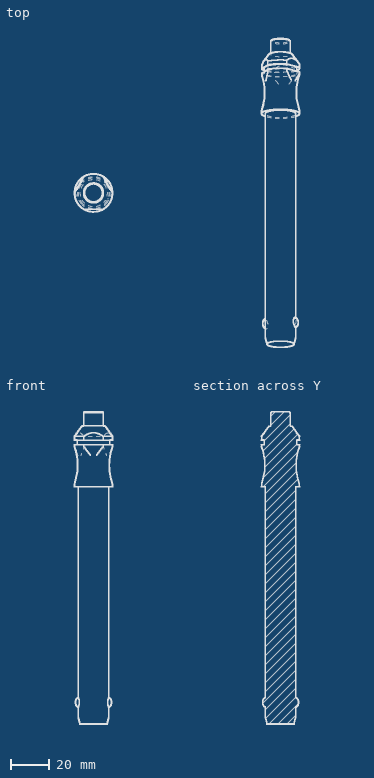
import cadquery as cq
import math

total_length = 163.5

pin_radius = 8.0
pin_length = 124.1
tip_radius = 7.1
tip_height = 3.4

collar_radius = 10.0
waist_radius = 8.3
base_band_height = 1.5
top_band_height = 1.0
waist_half_height = 9.8

groove_radius = 8.6
groove_height = 2.4
head_band_height = 2.0
head_top_radius = 6.05
head_edge_fillet = 1.0

button_radius = 5.2
button_height = 7.4
button_chamfer = 0.5

flat_count = 3
flat_distance = 8.66
first_flat_angle = -90.0

ball_radius = 3.2
ball_reach = 9.5
ball_height = 11.4

selection_margin = 0.1

collar_base_z = pin_length
waist_start_z = collar_base_z + base_band_height
waist_z = waist_start_z + waist_half_height
waist_end_z = waist_z + waist_half_height
collar_top_z = waist_end_z + top_band_height
head_base_z = collar_top_z + groove_height
head_cone_z = head_base_z + head_band_height
head_top_z = total_length - button_height


def waist_arc_midpoint(upward):
    """Point halfway along one waist arc, which runs parallel to the axis at the waist."""
    depth = collar_radius - waist_radius
    arc_radius = (waist_half_height**2 + depth**2) / (2 * depth)
    half_angle = math.asin(waist_half_height / arc_radius) / 2
    radius = waist_radius + arc_radius * (1 - math.cos(half_angle))
    return radius, waist_z + upward * arc_radius * math.sin(half_angle)


def make_turned_body():
    """Shank, collar, groove, head and button as one revolved profile."""
    profile = (
        cq.Workplane("XZ")
        .lineTo(tip_radius, 0)
        .lineTo(pin_radius, tip_height)
        .lineTo(pin_radius, collar_base_z)
        .lineTo(collar_radius, collar_base_z)
        .lineTo(collar_radius, waist_start_z)
        .threePointArc(waist_arc_midpoint(-1), (waist_radius, waist_z))
        .threePointArc(waist_arc_midpoint(1), (collar_radius, waist_end_z))
        .lineTo(collar_radius, collar_top_z)
        .lineTo(groove_radius, collar_top_z)
        .lineTo(groove_radius, head_base_z)
        .lineTo(collar_radius, head_base_z)
        .lineTo(collar_radius, head_cone_z)
        .lineTo(head_top_radius, head_top_z)
        .lineTo(button_radius, head_top_z)
        .lineTo(button_radius, total_length - button_chamfer)
        .lineTo(button_radius - button_chamfer, total_length)
        .lineTo(0, total_length)
        .close()
    )
    return profile.revolve(360, (0, 0, 0), (0, 1, 0))


def round_head_edge(body):
    """Round the outer edge of the shoulder around the button."""
    height_selector = cq.selectors.BoxSelector(
        (-collar_radius, -collar_radius, head_top_z - selection_margin),
        (collar_radius, collar_radius, head_top_z + selection_margin),
    )
    shoulder_circles = body.edges(height_selector).edges("%CIRCLE")
    outer_edge = shoulder_circles.edges(cq.selectors.RadiusNthSelector(-1))
    return outer_edge.fillet(head_edge_fillet)


def make_flat_cutter(angle):
    """Block that removes everything outside one flat, from the waist to the head top."""
    block_height = head_top_z - waist_z
    block = cq.Workplane("XY").box(
        collar_radius, 2 * collar_radius, block_height, centered=(False, True, False)
    )
    return block.translate((flat_distance, 0, waist_z)).rotate((0, 0, 0), (0, 0, 1), angle)


def make_ball(side):
    """Locking ball protruding from the shank on the given X side."""
    center_x = side * (ball_reach - ball_radius)
    return cq.Workplane("XY").sphere(ball_radius).translate((center_x, 0, ball_height))


result = round_head_edge(make_turned_body())

for index in range(flat_count):
    flat_angle = first_flat_angle + index * 360 / flat_count
    result = result.cut(make_flat_cutter(flat_angle))

for side in (-1, 1):
    result = result.union(make_ball(side))